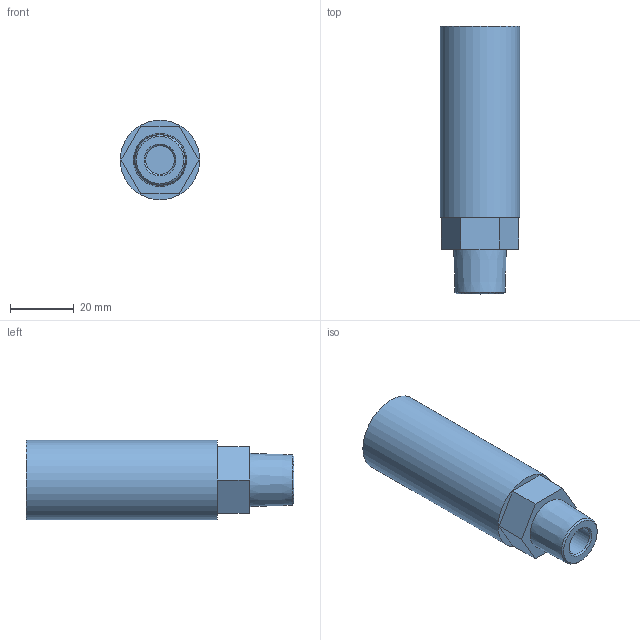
import cadquery as cq
import math

NIPPLE_LENGTH = 14.0
HEX_LENGTH = 10.0
BODY_LENGTH = 60.0

BODY_DIAMETER = 25.0
HEX_ACROSS_FLATS = 21.0

NIPPLE_ROOT_DIAMETER = 16.662
NIPPLE_TAPER = 1.0 / 16.0
NIPPLE_CHAMFER = 0.5

BORE_DIAMETER = 9.0
BORE_CHAMFER = 0.5
BORE_DEPTH = NIPPLE_LENGTH + HEX_LENGTH

TOTAL_LENGTH = NIPPLE_LENGTH + HEX_LENGTH + BODY_LENGTH
NIPPLE_END_Y = -TOTAL_LENGTH / 2
HEX_START_Y = NIPPLE_END_Y + NIPPLE_LENGTH
BODY_START_Y = HEX_START_Y + HEX_LENGTH


def plane_at(y):
    """Workplane across the part axis at y, extruding towards +Y."""
    return cq.Workplane(cq.Plane(origin=(0, y, 0), xDir=(1, 0, 0), normal=(0, 1, 0)))


def revolve_profile(points):
    """Solid of revolution about the Y axis from a closed (y, radius) outline."""
    return cq.Workplane("YZ").polyline(points).close().revolve(360, (0, 0, 0), (1, 0, 0))


def make_body():
    return plane_at(BODY_START_Y).circle(BODY_DIAMETER / 2).extrude(BODY_LENGTH)


def make_hexagon():
    """Wrench hexagon with two flats facing up and down."""
    across_corners = HEX_ACROSS_FLATS / math.cos(math.pi / 6)
    return plane_at(HEX_START_Y).polygon(6, across_corners).extrude(HEX_LENGTH)


def make_nipple():
    """Tapered nipple, narrowing towards its chamfered open end."""
    root_radius = NIPPLE_ROOT_DIAMETER / 2
    chamfer_start_y = NIPPLE_END_Y + NIPPLE_CHAMFER
    tip_radius = root_radius - (HEX_START_Y - chamfer_start_y) * NIPPLE_TAPER / 2
    return revolve_profile([
        (NIPPLE_END_Y, 0),
        (NIPPLE_END_Y, tip_radius - NIPPLE_CHAMFER),
        (chamfer_start_y, tip_radius),
        (HEX_START_Y, root_radius),
        (HEX_START_Y, 0),
    ])


def make_bore():
    """Blind bore with a chamfered mouth."""
    bore_radius = BORE_DIAMETER / 2
    floor_y = NIPPLE_END_Y + BORE_DEPTH
    return revolve_profile([
        (NIPPLE_END_Y, 0),
        (NIPPLE_END_Y, bore_radius + BORE_CHAMFER),
        (NIPPLE_END_Y + BORE_CHAMFER, bore_radius),
        (floor_y, bore_radius),
        (floor_y, 0),
    ])


result = make_body().union(make_hexagon()).union(make_nipple()).cut(make_bore())